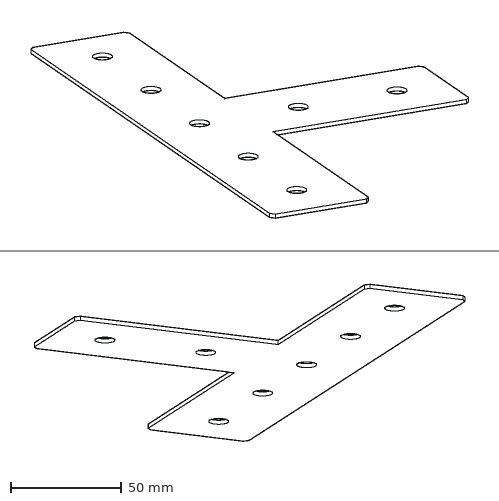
import cadquery as cq

length = 250.0
arm_width = 50.0
thickness = 2.0
hole_diameter = 9.0
corner_size = 2.0

pitch = arm_width
stem_length = 2 * pitch
bar_hole_count = 5
stem_hole_count = 2

bar = cq.Workplane("XY").box(length, arm_width, thickness, centered=(True, True, False))
stem = (
    cq.Workplane("XY")
    .box(arm_width, stem_length + arm_width, thickness, centered=(True, False, False))
    .translate((0, -arm_width / 2, 0))
)


def break_corners(plate, selector):
    """Chamfer the selected vertical corners of a plate."""
    return plate.edges(selector).chamfer(corner_size)


plate = break_corners(bar, "|Z").union(break_corners(stem, "|Z and >Y"))

bar_holes = [((i - (bar_hole_count - 1) / 2) * pitch, 0) for i in range(bar_hole_count)]
stem_holes = [(0, (i + 1) * pitch) for i in range(stem_hole_count)]
holes = (
    cq.Workplane("XY")
    .pushPoints(bar_holes + stem_holes)
    .circle(hole_diameter / 2)
    .extrude(thickness)
)

result = plate.cut(holes)